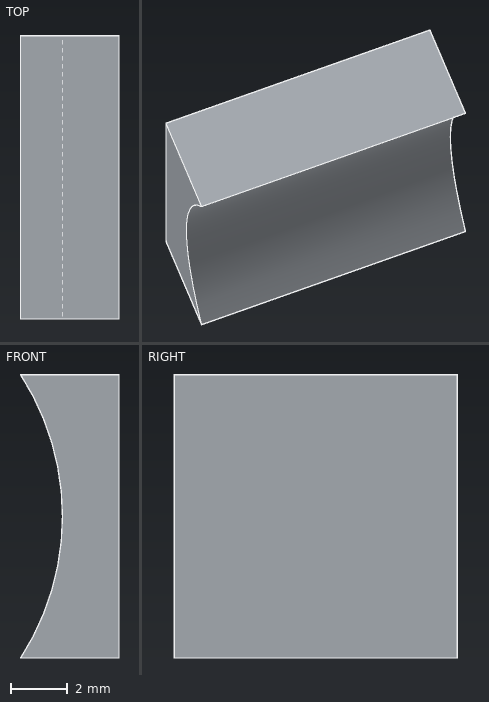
import cadquery as cq
import math

width = 10.0
height = 10.0
center_thickness = 2.0
curvature_radius = 9.2

half_height = height / 2
sag = curvature_radius - math.sqrt(curvature_radius**2 - half_height**2)


def lens_profile():
    """Closed XZ outline with the deepest point of the concave face at the origin."""
    return (
        cq.Workplane("XZ")
        .moveTo(-sag, -half_height)
        .lineTo(center_thickness, -half_height)
        .lineTo(center_thickness, half_height)
        .lineTo(-sag, half_height)
        .threePointArc((0, 0), (-sag, -half_height))
        .close()
    )


result = lens_profile().extrude(width / 2, both=True)